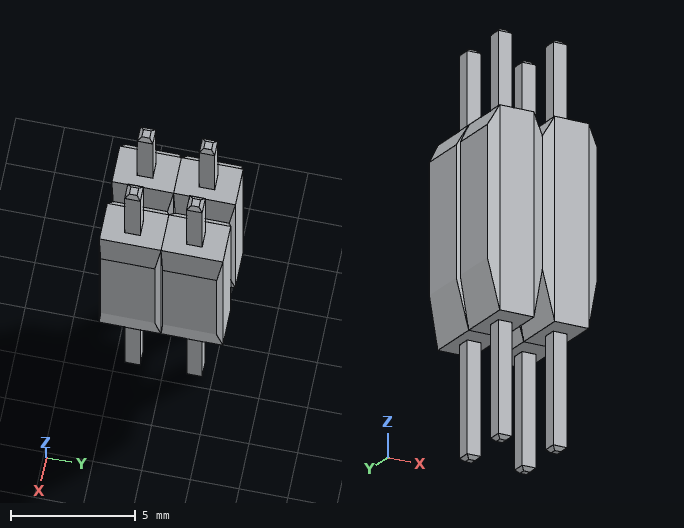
import cadquery as cq

PITCH = 17.78 / 7
COLUMNS = 2
ROWS = 2

OVERALL_HEIGHT = 17.78
LOWER_PIN_LENGTH = 5.09
UPPER_PIN_LENGTH = 3.8
STRIP_BOTTOM = LOWER_PIN_LENGTH
STRIP_TOP = OVERALL_HEIGHT - UPPER_PIN_LENGTH

PIN_WIDTH = 0.64
PIN_TIP_CHAMFER = 0.16

SIDE_INSET = 0.48
CORNER_BEVEL_DEPTH = 0.16
TOP_BEVEL_HEIGHT = 0.89
BOTTOM_BEVEL_HEIGHT = 2.22

HALF_PITCH = PITCH / 2
FLAT_HALF_WIDTH = HALF_PITCH - SIDE_INSET


def grid_offsets(count):
    """Centres of `count` places one pitch apart, centred on zero."""
    return [(index - (count - 1) / 2) * PITCH for index in range(count)]


def make_pin(x, y, bottom, length, tip_face):
    """Upright square pin that starts at height `bottom` and is chamfered around its tip face."""
    return (
        cq.Workplane("XY", origin=(x, y, bottom))
        .rect(PIN_WIDTH, PIN_WIDTH)
        .extrude(length)
        .faces(tip_face)
        .chamfer(PIN_TIP_CHAMFER)
    )


def make_upper_pin(x, y):
    return make_pin(x, y, STRIP_TOP, UPPER_PIN_LENGTH, ">Z")


def make_lower_pin(x, y):
    return make_pin(x, y, 0, LOWER_PIN_LENGTH, "<Z")


def segment_plan():
    """Octagonal prism along Z, with the four upright corner bevels of a segment."""
    flat_half_depth = HALF_PITCH - CORNER_BEVEL_DEPTH
    outline = [
        (-FLAT_HALF_WIDTH, -HALF_PITCH),
        (FLAT_HALF_WIDTH, -HALF_PITCH),
        (HALF_PITCH, -flat_half_depth),
        (HALF_PITCH, flat_half_depth),
        (FLAT_HALF_WIDTH, HALF_PITCH),
        (-FLAT_HALF_WIDTH, HALF_PITCH),
        (-HALF_PITCH, flat_half_depth),
        (-HALF_PITCH, -flat_half_depth),
    ]
    plane = cq.Workplane("XY", origin=(0, 0, STRIP_BOTTOM))
    return plane.polyline(outline).close().extrude(STRIP_TOP - STRIP_BOTTOM)


def segment_profile():
    """Octagonal prism along Y, with the short top bevels and long bottom bevels of a segment."""
    side_bottom = STRIP_BOTTOM + BOTTOM_BEVEL_HEIGHT
    side_top = STRIP_TOP - TOP_BEVEL_HEIGHT
    outline = [
        (-FLAT_HALF_WIDTH, STRIP_BOTTOM),
        (FLAT_HALF_WIDTH, STRIP_BOTTOM),
        (HALF_PITCH, side_bottom),
        (HALF_PITCH, side_top),
        (FLAT_HALF_WIDTH, STRIP_TOP),
        (-FLAT_HALF_WIDTH, STRIP_TOP),
        (-HALF_PITCH, side_top),
        (-HALF_PITCH, side_bottom),
    ]
    return cq.Workplane("XZ").polyline(outline).close().extrude(HALF_PITCH, both=True)


def make_strip(y):
    """One row of segments joined along X, with a V groove all around each joint."""
    segment = segment_plan().intersect(segment_profile())
    strip = cq.Workplane("XY")
    for x in grid_offsets(COLUMNS):
        strip = strip.union(segment.translate((x, y, 0)))
    return strip


pin_places = [(x, y) for x in grid_offsets(COLUMNS) for y in grid_offsets(ROWS)]

strips = [make_strip(y).solids().val() for y in grid_offsets(ROWS)]
upper_pins = [make_upper_pin(x, y).solids().val() for x, y in pin_places]
lower_pins = [make_lower_pin(x, y).solids().val() for x, y in pin_places]

result = cq.Compound.makeCompound([*strips, *upper_pins, *lower_pins])